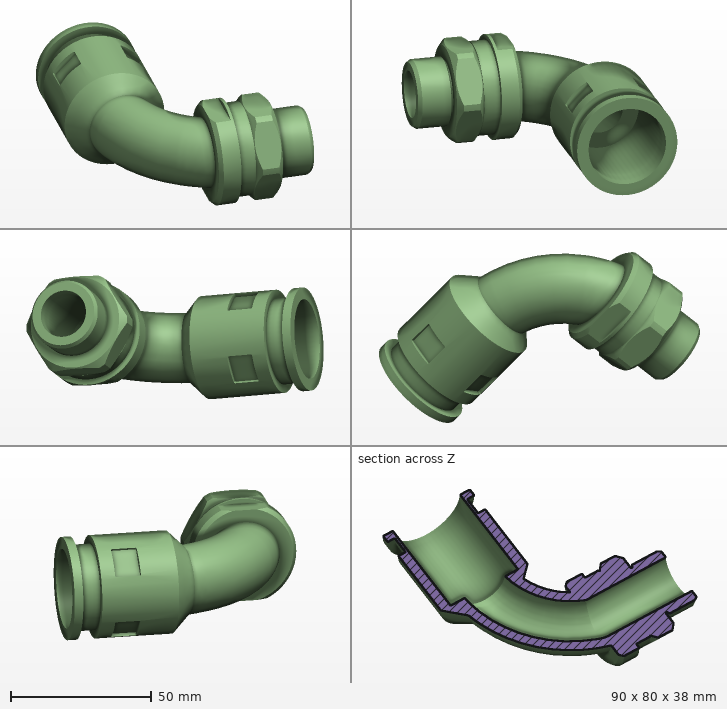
import cadquery as cq
import math

socket_dia = 37.0
groove_dia = 31.0
socket_bore_dia = 28.5
rim_length = 3.15
groove_end = 10.1
shoulder_x = 38.1
socket_bore_depth = shoulder_x

window_count = 4
window_start = 15.2
window_length = 9.4
window_width = 11.25
window_floor = 16.4
window_corner_radius = 0.45

pipe_dia = 25.0
pipe_bore_dia = 17.0
bend_radius = 39.15
bend_start_x = 34.1

collar_dia = 38.0
flats_width = 34.0
neck_dia = 23.0
total_length = 90.0
total_depth = 80.0
stub_length = 12.1
neck_length = 0.9
neck_taper_length = 0.45
hex_length = 10.1
barrel_length = 5.9
collar_length = 8.0
collar_lip = 1.1
collar_chamfer = 1.4
stub_chamfer_length = 1.35
stub_chamfer_depth = 0.9
hex_chamfer_length = 2.0
hex_face_dia = 33.3

axis_x = total_length - collar_dia / 2
crossing_angle = math.degrees(math.asin((axis_x - bend_start_x) / bend_radius))
crossing_y = bend_radius * (1 - math.cos(math.radians(crossing_angle)))
stub_top = total_depth - socket_dia / 2
neck_top = stub_top - stub_length
hex_top = neck_top - neck_length
hex_bottom = hex_top - hex_length
collar_top = hex_bottom - barrel_length
collar_bottom = collar_top - collar_length


def rod_x(diameter, start, end):
    """Cylinder on the socket axis between two X positions."""
    return cq.Workplane("YZ", origin=(start, 0, 0)).circle(diameter / 2).extrude(end - start)


def rod_y(diameter, start, end):
    """Cylinder on the gland axis between two Y positions."""
    plane = cq.Plane(origin=(axis_x, start, 0), xDir=(1, 0, 0), normal=(0, 1, 0))
    return cq.Workplane(plane).circle(diameter / 2).extrude(end - start)


def revolve_y(profile):
    """Solid of revolution about the gland axis from (radius, Y) points."""
    points = [(axis_x + radius, y) for radius, y in profile]
    outline = cq.Workplane("XY").polyline(points).close()
    return outline.revolve(360, (axis_x, 0, 0), (axis_x, 1, 0))


def bend(diameter, angle):
    """Part of a torus that starts on the socket axis and turns towards +Y."""
    section = cq.Workplane("YZ", origin=(bend_start_x, 0, 0)).circle(diameter / 2)
    return section.revolve(angle, (bend_radius, 0, 0), (bend_radius, 1, 0))


def make_socket():
    radius = socket_dia / 2
    groove_radius = groove_dia / 2
    cone_end_radius = pipe_bore_dia / 2
    cone_end_x = shoulder_x + radius - cone_end_radius
    profile = [
        (0, 0),
        (0, radius),
        (rim_length, radius),
        (rim_length, groove_radius),
        (groove_end, groove_radius),
        (groove_end, radius),
        (shoulder_x, radius),
        (cone_end_x, cone_end_radius),
        (cone_end_x, 0),
    ]
    return cq.Workplane("XY").polyline(profile).close().revolve(360, (0, 0, 0), (1, 0, 0))


def make_window_cutters():
    cutters = cq.Workplane("XY")
    pitch = 360 / window_count
    block = (
        cq.Workplane("XY", origin=(window_start + window_length / 2, 0, window_floor))
        .rect(window_length, window_width)
        .extrude(socket_dia / 2)
        .edges("|Z")
        .fillet(window_corner_radius)
    )
    for index in range(window_count):
        cutters = cutters.add(block.rotate((0, 0, 0), (1, 0, 0), pitch * (index + 0.5)))
    return cutters.combine()


def make_stub():
    radius = pipe_dia / 2
    neck_radius = neck_dia / 2
    return revolve_y([
        (0, hex_top),
        (neck_radius, hex_top),
        (neck_radius, neck_top - neck_taper_length),
        (radius, neck_top),
        (radius, stub_top - stub_chamfer_length),
        (radius - stub_chamfer_depth, stub_top),
        (0, stub_top),
    ])


def make_hexagon():
    plane = cq.Plane(origin=(axis_x, hex_bottom, 0), xDir=(1, 0, 0), normal=(0, 1, 0))
    corner_to_corner = flats_width / math.cos(math.pi / 6)
    prism = cq.Workplane(plane).polygon(6, corner_to_corner).extrude(hex_length)
    corner_radius = collar_dia / 2
    face_radius = hex_face_dia / 2
    envelope = revolve_y([
        (0, hex_bottom),
        (face_radius, hex_bottom),
        (corner_radius, hex_bottom + hex_chamfer_length),
        (corner_radius, hex_top - hex_chamfer_length),
        (face_radius, hex_top),
        (0, hex_top),
    ])
    return prism.intersect(envelope)


def make_collar():
    collar = rod_y(collar_dia, collar_bottom, collar_top).faces("<Y").chamfer(collar_chamfer)
    flat_length = collar_length - collar_lip
    flat_centre_y = collar_bottom + flat_length / 2
    for side in (1, -1):
        flat_cutter = cq.Workplane("XY").box(collar_dia, flat_length, flats_width)
        collar = collar.cut(flat_cutter.translate((axis_x, flat_centre_y, side * flats_width)))
    return collar


body = make_socket().union(bend(pipe_dia, 90))
body = body.union(make_collar())
body = body.union(rod_y(flats_width, collar_top, hex_bottom))
body = body.union(make_hexagon())
body = body.union(make_stub())
body = body.cut(make_window_cutters())

knee = cq.Workplane("XY", origin=(axis_x, crossing_y, 0)).sphere(pipe_bore_dia / 2)
body = body.cut(rod_x(socket_bore_dia, 0, socket_bore_depth))
body = body.cut(bend(pipe_bore_dia, crossing_angle))
body = body.cut(knee)
body = body.cut(rod_y(pipe_bore_dia, crossing_y, stub_top))

result = body